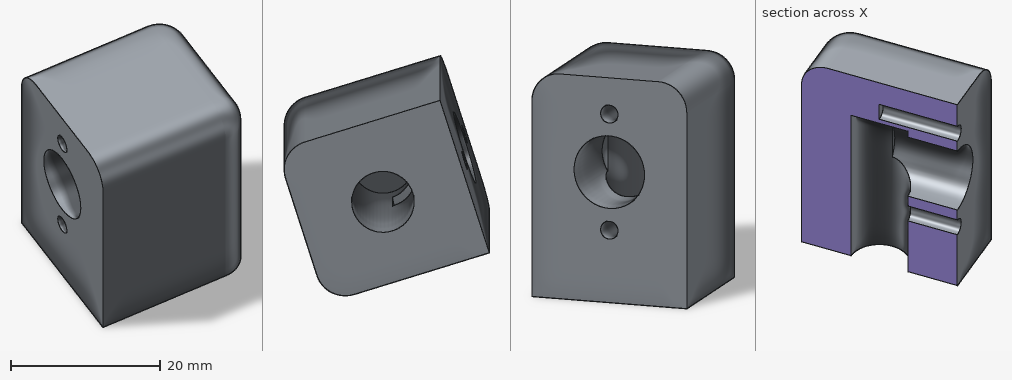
import cadquery as cq

WIDTH = 22.0
DEPTH = 23.0
HEIGHT = 31.0
EDGE_RADIUS = 4.0

BORE_DIAMETER = 8.38
BORE_Y = DEPTH / 2
BORE_END_CLEARANCE = 1.0

SOCKET_DIAMETER = 10.0
SOCKET_Z = 18.0
SOCKET_DEPTH = BORE_Y

SCREW_DIAMETER = 2.46
SCREW_SPACING = 16.0
SCREW_DEPTH = BORE_Y

BORE_TOP = SOCKET_Z + SOCKET_DIAMETER / 2 + BORE_END_CLEARANCE


def rounded_block():
    """Block with its side, back and top edges rounded, sharp around the front and base."""
    block = cq.Workplane("XY").box(WIDTH, DEPTH, HEIGHT, centered=(True, False, False))
    back_and_top_edges = block.edges("(|Z and >Y) or (|Y and >Z) or (>Y and >Z)")
    return back_and_top_edges.fillet(EDGE_RADIUS)


def front_hole(diameter, z, depth):
    """Flat-bottomed hole cutter running inward (+Y) from the front face."""
    front_plane = cq.Workplane("XZ").center(0, z)
    return front_plane.circle(diameter / 2).extrude(-depth)


def vertical_bore():
    """Bore cutter rising from the base."""
    return cq.Workplane("XY").center(0, BORE_Y).circle(BORE_DIAMETER / 2).extrude(BORE_TOP)


result = rounded_block().cut(vertical_bore())
result = result.cut(front_hole(SOCKET_DIAMETER, SOCKET_Z, SOCKET_DEPTH))
for side in (-1, 1):
    screw_z = SOCKET_Z + side * SCREW_SPACING / 2
    result = result.cut(front_hole(SCREW_DIAMETER, screw_z, SCREW_DEPTH))